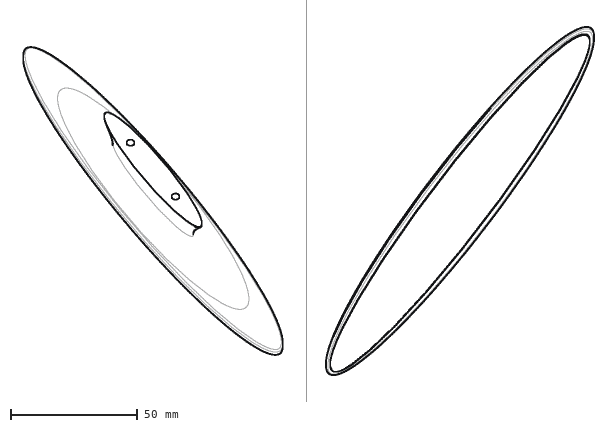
import cadquery as cq

base_length = 179.0
base_width = 29.0
lip_height = 1.0
lip_inset = 2.3
plate_top = 4.5
edge_round = 0.7

total_height = 24.0
rim_height = 0.5
rim_bottom = total_height - rim_height
top_half_length = 33.7
top_half_width = 5.5

foot_half_length = 64.8
foot_half_width = 13.5
waist_half_length = 28.0
waist_half_width = 4.1
waist_height = 11.1

foot_end = (plate_top, foot_half_length, foot_half_width)
waist = (waist_height, waist_half_length, waist_half_width)
rim_end = (rim_bottom, top_half_length, top_half_width)
foot_curve = [foot_end, (5.7, 39.4, 9.0), (4.8, waist_half_length, waist_half_width), waist]
flare_curve = [waist, (14.3, waist_half_length, waist_half_width), (18.3, 30.3, 4.7), rim_end]
sections_per_curve = 4

hole_diameter = 3.0
hole_depth = 9.0
hole_spacing = 31.9


def elliptical_disc(half_length, half_width, bottom, height):
    return (
        cq.Workplane("XY", origin=(0, 0, bottom))
        .ellipse(half_length, half_width)
        .extrude(height)
    )


def make_base():
    half_length = base_length / 2
    half_width = base_width / 2
    lip = elliptical_disc(half_length - lip_inset, half_width - lip_inset, 0, lip_height)
    plate = elliptical_disc(half_length, half_width, lip_height, plate_top - lip_height)
    plate = plate.faces("|Z").edges().fillet(edge_round)
    return plate.union(lip)


def bezier_point(controls, t):
    """Point at parameter t on the cubic curve with four control points."""
    weights = [(1 - t) ** 3, 3 * t * (1 - t) ** 2, 3 * t**2 * (1 - t), t**3]
    return [sum(w * value for w, value in zip(weights, axis)) for axis in zip(*controls)]


def loft_ellipses(controls):
    """Smooth solid through ellipses whose size and height follow the curve.

    Evenly spaced sections let the cubic loft reproduce the curve exactly.
    """
    wires = []
    for index in range(sections_per_curve):
        t = index / (sections_per_curve - 1)
        height, half_length, half_width = bezier_point(controls, t)
        section = cq.Workplane("XY", origin=(0, 0, height)).ellipse(half_length, half_width)
        wires.append(section.val())
    flare = cq.occ_impl.shapes.loft(wires, cap=True, parametrization="uniform")
    return cq.Workplane(flare)


def make_pedestal():
    foot = loft_ellipses(foot_curve)
    flare = loft_ellipses(flare_curve)
    rim = elliptical_disc(top_half_length, top_half_width, rim_bottom, rim_height)
    return foot.union(flare).union(rim)


def make_screw_holes():
    return (
        cq.Workplane("XY", origin=(0, 0, total_height - hole_depth))
        .pushPoints([(-hole_spacing / 2, 0), (hole_spacing / 2, 0)])
        .circle(hole_diameter / 2)
        .extrude(hole_depth)
    )


result = make_base().union(make_pedestal()).cut(make_screw_holes())